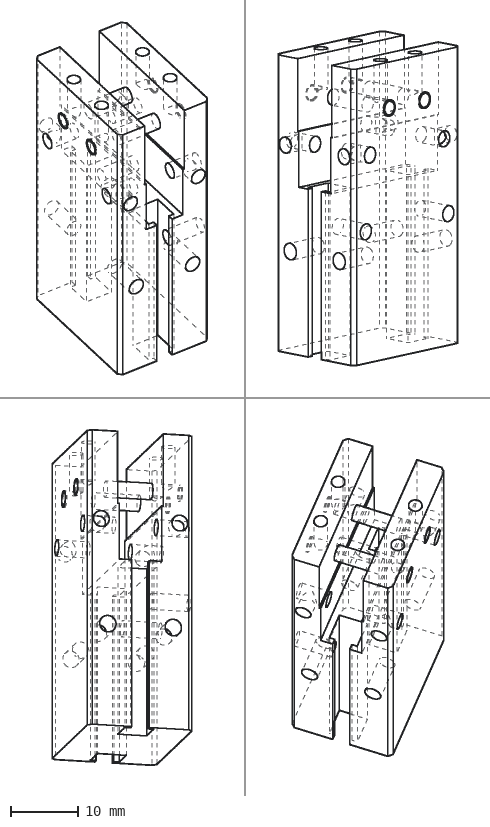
import cadquery as cq

WIDTH = 23.0
DEPTH = 16.0
HEIGHT = 45.0
CORNER_CHAMFER = 0.6

MOUTH_WIDTH = 7.0
MOUTH_DEPTH = 11.0
SLOT_WIDTH = 6.5
SLOT_DEPTH = 19.5

CHANNEL_OPENING = 2.7
CHANNEL_WIDTH = 4.4
LIP_THICKNESS = 0.9
CHANNEL_DEPTH = 5.2

BACK_HOLE_DIAMETER = 2.4
BACK_HOLE_X = 8.9
BACK_HOLE_Z = 20.0

PIN_DIAMETER = 2.46
PIN_END_DIAMETER = 2.1
PIN_X = 3.8
PIN_Z = 38.0

CROSS_HOLE_DIAMETER = 2.4
CROSS_HOLE_X = 8.0
CROSS_HOLE_Z = 31.5
SIDE_HOLE_DIAMETER = 2.4
SIDE_HOLE_Y = 6.0

LOWER_HOLE_DIAMETER = 2.5
LOWER_HOLE_DEPTH = 6.0
LOWER_HOLE_Y = 5.0
LOWER_HOLE_Z = 15.5

TOP_HOLE_DIAMETER = 2.0
TOP_HOLE_X = 3.75
TOP_HOLE_Y = 6.1

SIDES = (-1, 1)


def box(x_size, y_size, z_size, x_center, z_bottom):
    """Box centred on Y = 0."""
    solid = cq.Workplane("XY").box(x_size, y_size, z_size, centered=(True, True, False))
    return solid.translate((x_center, 0, z_bottom))


def cylinder(diameter, start, end):
    """Cylinder between two points on its axis."""
    axis = cq.Vector(*end) - cq.Vector(*start)
    return cq.Workplane(obj=cq.Solid.makeCylinder(diameter / 2, axis.Length, cq.Vector(*start), axis))


def make_block():
    block = box(WIDTH, DEPTH, HEIGHT, 0, 0)
    return block.edges("|Z").chamfer(CORNER_CHAMFER)


def cut_slot(body):
    body = body.cut(box(WIDTH, SLOT_WIDTH, SLOT_DEPTH, 0, HEIGHT - SLOT_DEPTH))
    return body.cut(box(WIDTH, MOUTH_WIDTH, MOUTH_DEPTH, 0, HEIGHT - MOUTH_DEPTH))


def cut_channels(body):
    height = HEIGHT - SLOT_DEPTH
    inner_depth = CHANNEL_DEPTH - LIP_THICKNESS
    for side in SIDES:
        opening_x = side * (WIDTH - CHANNEL_DEPTH) / 2
        inner_x = side * (WIDTH / 2 - LIP_THICKNESS - inner_depth / 2)
        body = body.cut(box(CHANNEL_DEPTH, CHANNEL_OPENING, height, opening_x, 0))
        body = body.cut(box(inner_depth, CHANNEL_WIDTH, height, inner_x, 0))
    return body


def cut_cross_and_side_holes(body):
    for x_side in SIDES:
        x = x_side * CROSS_HOLE_X
        front = (x, -DEPTH / 2, CROSS_HOLE_Z)
        back = (x, DEPTH / 2, CROSS_HOLE_Z)
        body = body.cut(cylinder(CROSS_HOLE_DIAMETER, front, back))
        for y_side in SIDES:
            y = y_side * SIDE_HOLE_Y
            mouth = (x_side * WIDTH / 2, y, CROSS_HOLE_Z)
            body = body.cut(cylinder(SIDE_HOLE_DIAMETER, mouth, (x, y, CROSS_HOLE_Z)))
    return body


def cut_lower_holes(body):
    for x_side in SIDES:
        for y_side in SIDES:
            y = y_side * LOWER_HOLE_Y
            mouth = (x_side * WIDTH / 2, y, LOWER_HOLE_Z)
            bottom = (x_side * (WIDTH / 2 - LOWER_HOLE_DEPTH), y, LOWER_HOLE_Z)
            body = body.cut(cylinder(LOWER_HOLE_DIAMETER, mouth, bottom))
    return body


def cut_back_holes(body):
    for x_side in SIDES:
        x = x_side * BACK_HOLE_X
        body = body.cut(cylinder(BACK_HOLE_DIAMETER, (x, 0, BACK_HOLE_Z), (x, DEPTH / 2, BACK_HOLE_Z)))
    return body


def cut_top_holes(body):
    for x_side in SIDES:
        for y_side in SIDES:
            x = x_side * TOP_HOLE_X
            y = y_side * TOP_HOLE_Y
            body = body.cut(cylinder(TOP_HOLE_DIAMETER, (x, y, PIN_Z), (x, y, HEIGHT)))
    return body


def add_pins(body):
    end_chamfer = (PIN_DIAMETER - PIN_END_DIAMETER) / 2
    for x_side in SIDES:
        x = x_side * PIN_X
        start = (x, -DEPTH / 2, PIN_Z)
        end = (x, DEPTH / 2, PIN_Z)
        bore = cylinder(PIN_DIAMETER, start, end)
        pin = bore.edges().chamfer(end_chamfer)
        body = body.cut(bore).union(pin)
    return body


body = make_block()
body = cut_slot(body)
body = cut_channels(body)
body = cut_cross_and_side_holes(body)
body = cut_lower_holes(body)
body = cut_back_holes(body)
body = cut_top_holes(body)
result = add_pins(body)